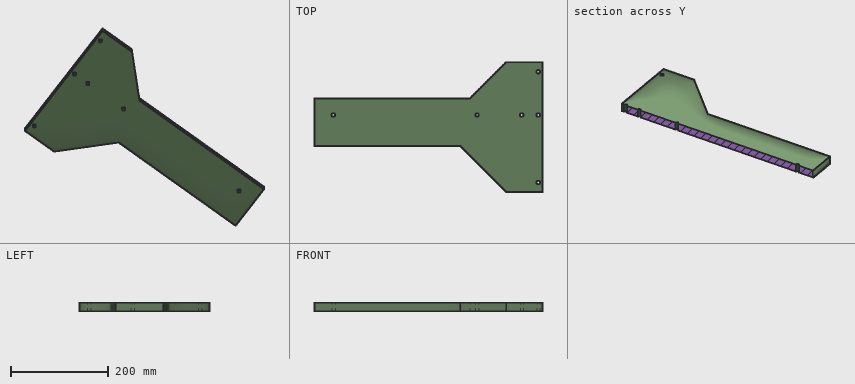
import cadquery as cq

length = 470.0
head_width = 268.0
thickness = 18.0

head_length = 75.0
arm_width = 98.0
front_shoulder = 95.0
back_shoulder = head_width - arm_width - front_shoulder

hole_diameter = 7.0
head_hole_inset = 9.0
corner_hole_inset = 20.0
axis_hole_offset = 64.0
inner_hole_spacing = 34.0
throat_hole_spacing = 92.0
arm_hole_inset = 39.0

x_left = -length / 2
x_right = length / 2
y_front = -head_width / 2
y_back = head_width / 2
arm_front = y_front + front_shoulder
arm_back = y_back - back_shoulder
head_start = x_right - head_length


def make_plate():
    """Extrude the T-shaped outline; each flare runs as far in X as in Y."""
    outline = [
        (x_left, arm_front),
        (head_start - front_shoulder, arm_front),
        (head_start, y_front),
        (x_right, y_front),
        (x_right, y_back),
        (head_start, y_back),
        (head_start - back_shoulder, arm_back),
        (x_left, arm_back),
    ]
    plate = cq.Workplane("XY").workplane(offset=-thickness / 2)
    return plate.polyline(outline).close().extrude(thickness)


def hole_centres():
    """Three holes across the head and three more along the arm."""
    head_row_x = x_right - head_hole_inset
    inner_x = head_row_x - inner_hole_spacing
    throat_x = inner_x - throat_hole_spacing
    axis_y = arm_front + axis_hole_offset
    head_row = [
        (head_row_x, y_front + corner_hole_inset),
        (head_row_x, axis_y),
        (head_row_x, y_back - corner_hole_inset),
    ]
    arm_line = [
        (inner_x, axis_y),
        (throat_x, axis_y),
        (x_left + arm_hole_inset, axis_y),
    ]
    return head_row + arm_line


def drill_holes(plate):
    """Drill every hole straight through the plate."""
    top_face = plate.faces(">Z").workplane(origin=(0, 0, 0))
    return top_face.pushPoints(hole_centres()).hole(hole_diameter)


result = drill_holes(make_plate())